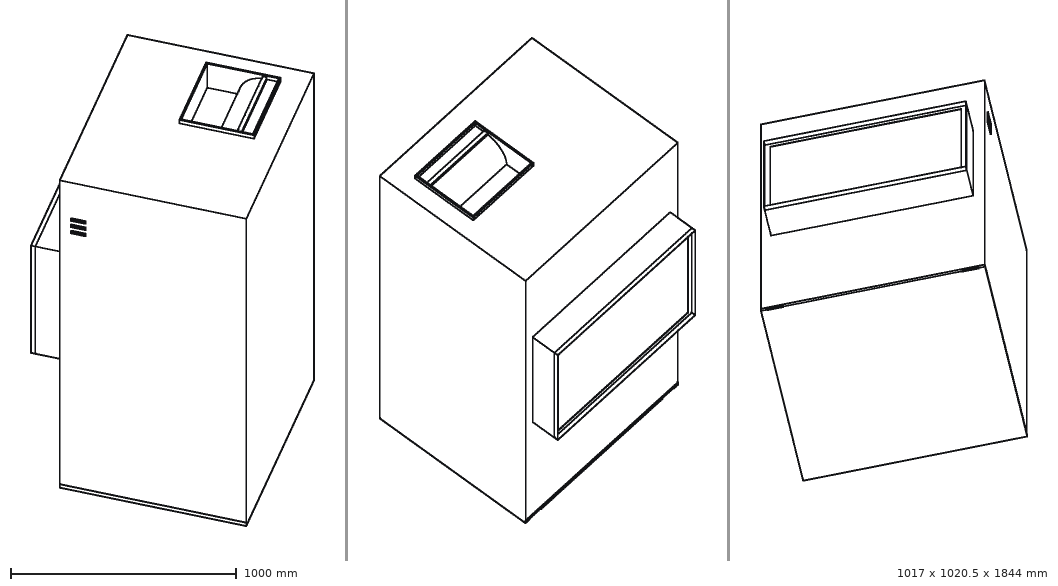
import cadquery as cq

total_height = 1844.0
cabinet_depth = 867.0
cabinet_width = 1016.0

plinth_height = 20.0
plinth_step = 2.0
plinth_setback = 1.0

notch_width = 74.0
notch_height = 13.0
notch_depth = 4.0
notch_edge_distance = 28.0

monitor_depth = 150.0
monitor_width = 918.0
monitor_height = 638.0
monitor_bottom = 715.0
monitor_start = 52.0
rim_depth = 20.0
rim_wall = 1.0
screen_border = 25.0
screen_recess = 2.0

slat_count = 3
slat_length = 68.0
slat_height = 13.0
slat_thickness = 4.5
slat_pitch = 37.0
slat_start = 53.0
lowest_slat_bottom = 1527.0

frame_height = 20.0
frame_wall = 7.0
frame_start = 395.0
frame_length = 347.0
frame_width = 402.0
frame_back_distance = 94.0
drum_radius = 122.0
bar_width = 20.0
bar_height = 13.0

cabinet_top = total_height - frame_height
frame_front = cabinet_width - frame_back_distance - frame_width
drum_axis_x = 670.0


def block(start, size):
    """Box from its lowest corner and its size."""
    return cq.Workplane("XY").box(*size, centered=False).translate(start)


def make_cabinet():
    body = block((0, 0, 0), (cabinet_depth, cabinet_width, cabinet_top))
    plinth = block((0, -plinth_step, 0), (cabinet_depth, cabinet_width + plinth_step, plinth_height))
    setback = block((0, -plinth_step, 0), (plinth_setback, cabinet_width + plinth_step, plinth_height))
    body = body.union(plinth).cut(setback)
    for notch_start in (notch_edge_distance, cabinet_width - notch_edge_distance - notch_width):
        body = body.cut(block((0, notch_start, 0), (notch_depth, notch_width, notch_height)))
    return body


def monitor_slab(front, depth, inset):
    """Slab behind the given X, set in from the monitor outline on all four sides."""
    start = (front, monitor_start + inset, monitor_bottom + inset)
    return block(start, (depth, monitor_width - 2 * inset, monitor_height - 2 * inset))


def make_monitor():
    case = monitor_slab(-monitor_depth, monitor_depth, 0)
    rim_opening = monitor_slab(-monitor_depth, rim_depth, rim_wall)
    screen = monitor_slab(-monitor_depth, rim_depth + screen_recess, screen_border)
    return case.cut(rim_opening).cut(screen)


def make_slats():
    slats = cq.Workplane("XY")
    for index in range(slat_count):
        bottom = lowest_slat_bottom + index * slat_pitch
        slat = block((slat_start, -slat_thickness, bottom), (slat_length, slat_thickness, slat_height))
        slats = slats.add(slat)
    return slats.combine()


def add_hatch(body):
    inner_start = frame_start + frame_wall
    inner_front = frame_front + frame_wall
    inner_width = frame_width - 2 * frame_wall
    inner_length = frame_length - 2 * frame_wall

    frame = block((frame_start, frame_front, cabinet_top), (frame_length, frame_width, frame_height))
    frame = frame.cut(block((inner_start, inner_front, cabinet_top), (inner_length, inner_width, frame_height)))

    floor = cabinet_top - drum_radius
    back_plane = cq.Workplane("XZ", origin=(0, inner_front + inner_width, 0))
    pocket = (
        back_plane.moveTo(inner_start, floor)
        .lineTo(drum_axis_x - drum_radius, floor)
        .radiusArc((drum_axis_x, cabinet_top), drum_radius)
        .lineTo(inner_start, cabinet_top)
        .close()
        .extrude(inner_width)
    )

    bar_start = drum_axis_x - bar_width / 2
    bar = block((bar_start, inner_front, cabinet_top), (bar_width, inner_width, bar_height))
    return body.cut(pocket).union(frame).union(bar)


result = add_hatch(make_cabinet()).union(make_monitor()).union(make_slats())